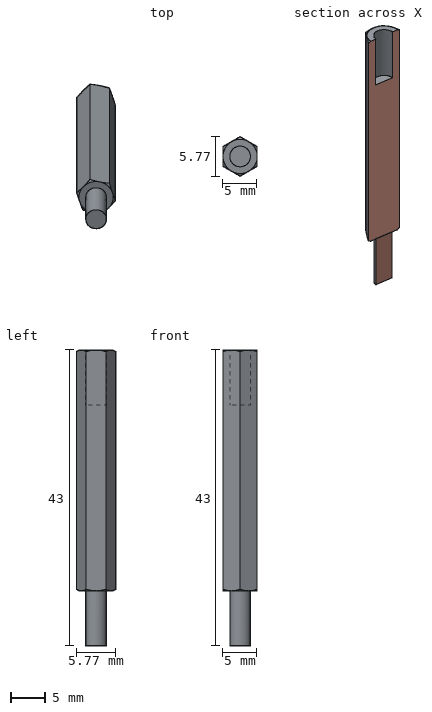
import cadquery as cq
import math

TOTAL_LENGTH = 43.0
STUD_LENGTH = 8.0
STUD_DIAMETER = 3.0
HOLE_DIAMETER = 3.0
HOLE_DEPTH = 8.0
ACROSS_FLATS = 5.0
CHAMFER_ANGLE = 30.0

HEX_LENGTH = TOTAL_LENGTH - STUD_LENGTH
ACROSS_CORNERS = ACROSS_FLATS / math.cos(math.radians(30))
CHAMFER_WIDTH = (ACROSS_CORNERS - ACROSS_FLATS) / 2
CHAMFER_HEIGHT = CHAMFER_WIDTH * math.tan(math.radians(CHAMFER_ANGLE))


def make_chamfer_envelope():
    """Cylinder around the hexagon corners, with coned ends that trim them."""
    return (
        cq.Workplane("XY")
        .circle(ACROSS_CORNERS / 2)
        .extrude(HEX_LENGTH)
        .faces("<Z or >Z")
        .chamfer(CHAMFER_HEIGHT, CHAMFER_WIDTH)
    )


def make_spacer():
    """Hexagonal spacer with a blind hole in its top; corners point along Y."""
    hexagon = (
        cq.Workplane("XY")
        .transformed(rotate=(0, 0, 90))
        .polygon(6, ACROSS_CORNERS)
        .extrude(HEX_LENGTH)
    )
    hole = (
        cq.Workplane("XY")
        .workplane(offset=HEX_LENGTH - HOLE_DEPTH)
        .circle(HOLE_DIAMETER / 2)
        .extrude(HOLE_DEPTH)
    )
    return hexagon.intersect(make_chamfer_envelope()).cut(hole)


def make_stud():
    """Plain round stud seated against the bottom face of the spacer."""
    return cq.Workplane("XY").circle(STUD_DIAMETER / 2).extrude(-STUD_LENGTH)


spacer = make_spacer()
stud = make_stud()

result = cq.Compound.makeCompound([spacer.val(), stud.val()])